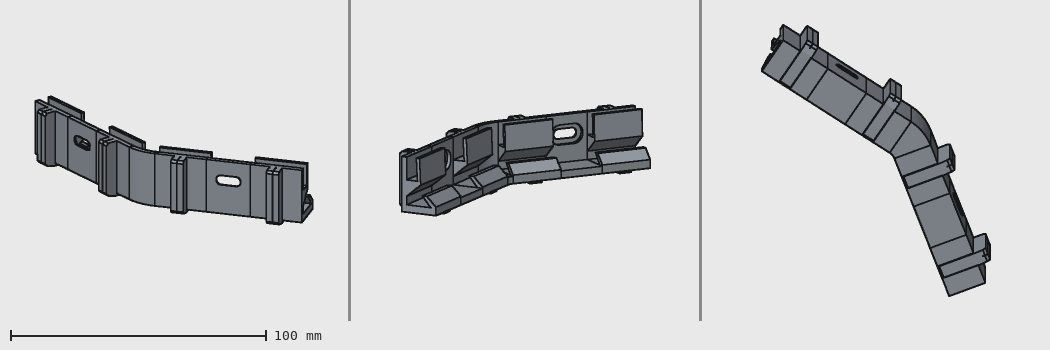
import cadquery as cq
import math

overall_length = 120.5
bend_angle = 35.5
bend_radius = 20.0
depth = 15.2
height = 22.2
wall = 2.2
panel_length = 18.1
floor = 3.0

clip_slot_floor = 13.0
clip_inner_top = 6.5
clip_inner_bottom = 7.0
clip_outer_top = 8.0
clip_outer_bottom = 8.4
clip_bottom = 11.6
undercut_top = 6.4
lip_root = 12.9
lip_height = 7.3
lip_tip_inner = 9.2
lip_tip_outer = 11.2
lip_heel = 3.5

rib_width = 5.0
rib_reach = 5.0
rib_chamfer = 1.0
foot_drop = 1.0
toe_drop = 0.2
foot_front = 0.7
foot_back = 14.3
foot_back_slope = 0.5
slit_width = 0.1

window_length = 10.0
window_height = 4.0
window_level = 14.1
window_lip = 0.6
recess_margin = 2.0

bend = math.radians(bend_angle)
arm_length = (overall_length - bend_radius * math.sin(bend)) / (1 + math.cos(bend))
channel_length = (arm_length - panel_length) / 2


def section(points, start, length):
    """Extrude a (depth, height) outline along the arm."""
    return cq.Workplane("YZ", origin=(start, 0, 0)).polyline(points).close().extrude(length)


def rib(middle):
    """Rib with its foot; a slit splits the part that stands ahead of the wall."""
    outline = [
        (wall, height),
        (-rib_reach + rib_chamfer, height),
        (-rib_reach, height - rib_chamfer),
        (-rib_reach, rib_chamfer),
        (-rib_reach + rib_chamfer + toe_drop, -toe_drop),
        (-foot_front, -foot_drop),
        (foot_back, -foot_drop),
        (foot_back + foot_back_slope, 0),
        (wall, 0),
    ]
    slit_center = (middle, -rib_reach / 2, height / 2)
    slit = cq.Workplane("XY", origin=slit_center).box(slit_width, rib_reach, height)
    return section(outline, middle - rib_width / 2, rib_width).cut(slit)


def channel(start):
    """Clip channel with its rib."""
    outline = [
        (0, 0),
        (depth, 0),
        (depth, lip_heel),
        (lip_tip_outer, lip_height),
        (lip_tip_inner, lip_height),
        (lip_root, floor),
        (wall, floor),
        (wall, undercut_top),
        (clip_outer_bottom, clip_bottom),
        (clip_outer_top, height),
        (clip_inner_top, height),
        (clip_inner_bottom, clip_slot_floor),
        (wall, clip_slot_floor),
        (wall, height),
        (0, height),
    ]
    return section(outline, start, channel_length).union(rib(start + channel_length / 2))


angle_outline = [(0, 0), (depth, 0), (depth, floor), (wall, floor), (wall, height), (0, height)]


def obround(middle, front, length, width):
    """Obround cutter at window level, from a given depth to the back of the wall."""
    return (
        cq.Workplane("XZ", origin=(middle, wall, window_level))
        .slot2D(length, width)
        .extrude(wall - front)
    )


def panel(start):
    """Panel between two channels, with its window and recess."""
    middle = start + panel_length / 2
    window = obround(middle, 0, window_length, window_height)
    recess = obround(
        middle, window_lip, window_length + 2 * recess_margin, window_height + 2 * recess_margin
    )
    return section(angle_outline, start, panel_length).cut(window).cut(recess)


def onto_left_arm(body):
    """Mirror a right-arm body and swing it around the bend."""
    axis_start = (0, bend_radius, 0)
    axis_end = (0, bend_radius, height)
    return body.mirror("YZ").rotate(axis_start, axis_end, -bend_angle)


bend_body = (
    cq.Workplane("YZ")
    .polyline(angle_outline)
    .close()
    .revolve(bend_angle, (bend_radius, 0, 0), (bend_radius, -1, 0))
)

channels = []
for channel_start in (0, channel_length + panel_length):
    right_channel = channel(channel_start)
    channels += [right_channel, onto_left_arm(right_channel)]

right_panel = panel(channel_length)
panels = [right_panel, onto_left_arm(right_panel)]

result = cq.Compound.makeCompound([body.val() for body in [bend_body, *channels, *panels]])